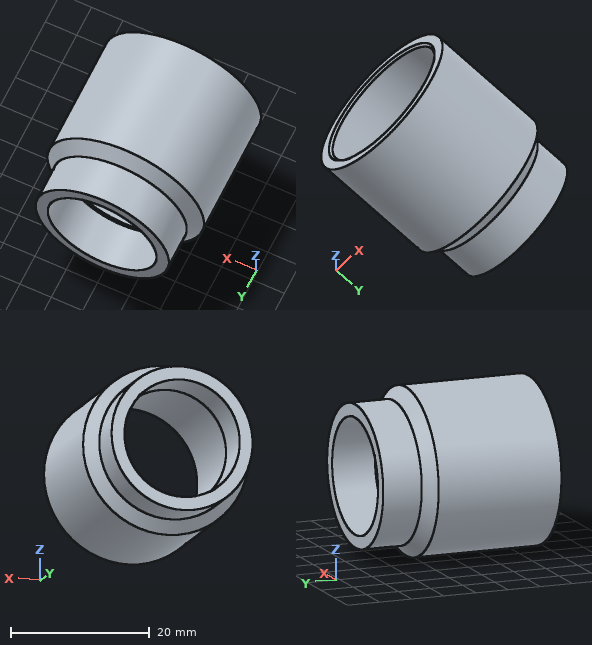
import cadquery as cq
import math

length = 27.0
body_radius = 12.5
neck_radius = 10.65
neck_length = 6.0

mouth_radius = 10.85
socket_radius = 10.48
taper_end_radius = 9.23
bore_radius = 8.67
taper_half_angle = 63.5

shoulder_length = body_radius - neck_radius
mouth_chamfer = mouth_radius - socket_radius
taper_length = (socket_radius - taper_end_radius) / math.tan(math.radians(taper_half_angle))
exit_chamfer = taper_end_radius - bore_radius

front = -length / 2
back = length / 2
neck_start = back - neck_length
shoulder_start = neck_start - shoulder_length
taper_start = shoulder_start
taper_end = taper_start + taper_length

half_section = [
    (mouth_radius, front),
    (body_radius, front),
    (body_radius, shoulder_start),
    (neck_radius, neck_start),
    (neck_radius, back),
    (bore_radius, back),
    (bore_radius, taper_end + exit_chamfer),
    (taper_end_radius, taper_end),
    (socket_radius, taper_start),
    (socket_radius, front + mouth_chamfer),
]
result = cq.Workplane("XY").polyline(half_section).close().revolve(360, (0, 0, 0), (0, 1, 0))